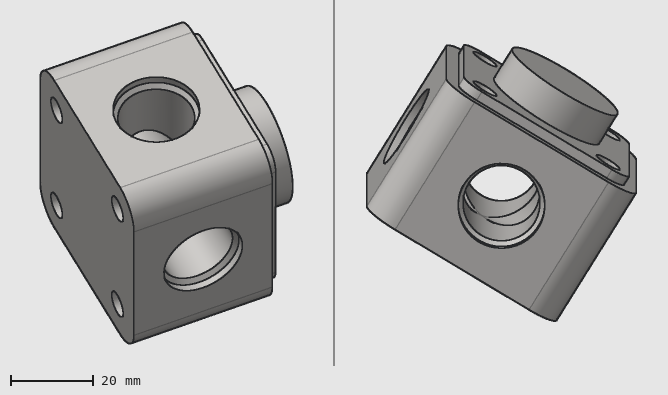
import cadquery as cq

block_side = 54.0
block_depth = 37.0
block_corner_radius = 8.0

flange_side = 47.0
flange_thickness = 2.5
flange_corner_radius = 5.0

total_depth = 48.0
boss_diameter = 30.0
boss_length = total_depth - block_depth - flange_thickness

bolt_hole_diameter = 6.6
bolt_spacing = 35.0

bore_diameter = 18.65
recess_diameter = 20.95
recess_depth = 2.0
cone_depth = (recess_diameter - bore_diameter) / 2
bore_center_y = block_depth / 2


def cylinder_along_y(diameter, start_y, length, x=0.0, z=0.0):
    return cq.Workplane(
        cq.Solid.makeCylinder(diameter / 2, length, cq.Vector(x, start_y, z), cq.Vector(0, 1, 0))
    )


def rounded_square_plate(side, thickness, corner_radius, start_y):
    plate = cq.Workplane("XY").box(side, thickness, side)
    return plate.edges("|Y").fillet(corner_radius).translate((0, start_y + thickness / 2, 0))


def recessed_bore(axis):
    """Through bore along the given axis, with a recess and a cone at both ends."""
    center = cq.Vector(0, bore_center_y, 0)
    bore = cq.Solid.makeCylinder(bore_diameter / 2, block_side, center - axis * (block_side / 2), axis)
    cutter = cq.Workplane(bore)
    for inward in (axis, axis * -1):
        mouth = center - inward * (block_side / 2)
        recess_floor = mouth + inward * recess_depth
        recess = cq.Solid.makeCylinder(recess_diameter / 2, recess_depth, mouth, inward)
        cone = cq.Solid.makeCone(recess_diameter / 2, bore_diameter / 2, cone_depth, recess_floor, inward)
        cutter = cutter.union(cq.Workplane(recess)).union(cq.Workplane(cone))
    return cutter


block = rounded_square_plate(block_side, block_depth, block_corner_radius, 0)
flange = rounded_square_plate(flange_side, flange_thickness, flange_corner_radius, block_depth)
boss = cylinder_along_y(boss_diameter, block_depth + flange_thickness, boss_length)
result = block.union(flange).union(boss)

for bore_axis in (cq.Vector(1, 0, 0), cq.Vector(0, 0, 1)):
    result = result.cut(recessed_bore(bore_axis))

bolt_hole_length = block_depth + flange_thickness
for x_side in (-1, 1):
    for z_side in (-1, 1):
        bolt_x = x_side * bolt_spacing / 2
        bolt_z = z_side * bolt_spacing / 2
        bolt_hole = cylinder_along_y(bolt_hole_diameter, 0, bolt_hole_length, bolt_x, bolt_z)
        result = result.cut(bolt_hole)